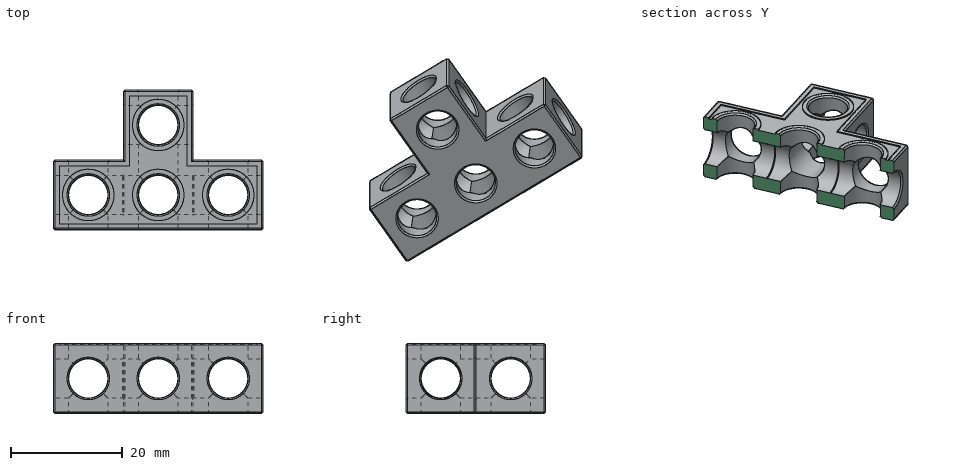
import cadquery as cq

pitch = 12.5
hole_diameter = 7.0
edge_chamfer = 0.3
rim_width = 1.1
collar_diameter = 9.2
recess_depth = 0.2
groove_width = 0.2
groove_depth = 0.1

row_cells = [(-pitch, 0), (0, 0), (pitch, 0)]
stem_cell = (0, pitch)
cells = row_cells + [stem_cell]

half_cell = pitch / 2
row_length = len(row_cells) * pitch
stem_depth = 2 * pitch
row_front = -half_cell


def t_prism(inset, bottom, height):
    """T-shaped prism whose walls lie `inset` inside the outer outline."""
    row = cq.Workplane("XY").box(
        row_length - 2 * inset, pitch - 2 * inset, height, centered=(True, False, False)
    )
    stem = cq.Workplane("XY").box(
        pitch - 2 * inset, stem_depth - 2 * inset, height, centered=(True, False, False)
    )
    return row.union(stem).translate((0, row_front + inset, bottom))


def disc(center, diameter, bottom, height):
    """Upright cylinder on a cell axis."""
    return cq.Workplane("XY", origin=(*center, bottom)).circle(diameter / 2).extrude(height)


def hole_cutter(start, direction, length):
    """Through-hole tool, flared at both mouths by the edge chamfer."""
    radius = hole_diameter / 2
    mouth_radius = radius + edge_chamfer
    profile = [
        (0, 0),
        (mouth_radius, 0),
        (radius, edge_chamfer),
        (radius, length - edge_chamfer),
        (mouth_radius, length),
        (0, length),
    ]
    tool = cq.Workplane("XZ").polyline(profile).close().revolve(360, (0, 0, 0), (0, 1, 0))
    plane = cq.Plane(origin=start, normal=direction)
    return cq.Workplane(obj=tool.val().moved(cq.Location(plane)))


def chamfered_body():
    """T block with every outer edge broken; the two inner corners stay sharp."""
    block = t_prism(0, -half_cell, pitch)
    inner_corners = cq.selectors.BoxSelector(
        (-pitch, half_cell - edge_chamfer, -edge_chamfer),
        (pitch, half_cell + edge_chamfer, edge_chamfer),
    )
    outer_edges = cq.selectors.InverseSelector(inner_corners)
    return block.edges(outer_edges).chamfer(edge_chamfer)


def top_recess():
    """Shallow pocket inside the rim, leaving a collar around each hole."""
    bottom = half_cell - recess_depth
    recess = t_prism(rim_width, bottom, recess_depth)
    for cell in cells:
        recess = recess.cut(disc(cell, collar_diameter, bottom, recess_depth))
    return recess


def cross_holes():
    """Start point, direction and length of each hole through the block."""
    holes = [((x, y, -half_cell), (0, 0, 1), pitch) for x, y in cells]
    for x, _ in row_cells:
        length = stem_depth if x == stem_cell[0] else pitch
        holes.append(((x, row_front, 0), (0, 1, 0), length))
    holes.append(((-row_length / 2, 0, 0), (1, 0, 0), row_length))
    holes.append(((-half_cell, stem_cell[1], 0), (1, 0, 0), pitch))
    return holes


def ring_groove(x):
    """Shallow V groove around the wall of the long hole, centred at x."""
    radius = hole_diameter / 2
    profile = [
        (x - groove_width / 2, 0),
        (x - groove_width / 2, radius),
        (x, radius + groove_depth),
        (x + groove_width / 2, radius),
        (x + groove_width / 2, 0),
    ]
    return cq.Workplane("XY").polyline(profile).close().revolve(360, (0, 0, 0), (1, 0, 0))


result = chamfered_body().cut(top_recess())
for start, direction, length in cross_holes():
    result = result.cut(hole_cutter(start, direction, length))
for side in (-1, 1):
    result = result.cut(ring_groove(side * half_cell))